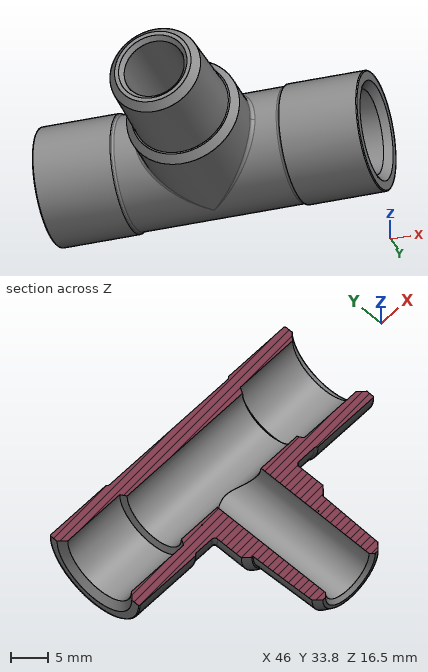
import cadquery as cq
import math

run_length = 46.0
collar_radius = 16.5 / 2
collar_length = 11.2
collar_chamfer = 0.15
body_radius = 8.0
blend_radius = 0.5

through_radius = 10.0 / 2
socket_radius = 11.75 / 2
socket_depth = collar_length
socket_chamfer = 1.0
drill_tip_half_angle = 59.0

overall_depth = 33.75
branch_length = overall_depth - collar_radius
shoulder_distance = 13.95
edge_chamfer = 1.0
spigot_root_radius = 6.75
taper_per_length = 1 / 32
branch_bore_radius = 8.5 / 2
branch_bore_chamfer = 0.6
junction_fillet = 0.5

half_length = run_length / 2
collar_inner_x = half_length - collar_length


def run_half():
    """Right half of the solid run, from the middle to the +X end."""
    collar_edge_radius = collar_radius - collar_chamfer
    drop = collar_edge_radius - body_radius

    def reach(rise):
        return math.sqrt(blend_radius**2 - (blend_radius - rise) ** 2)

    def blend_point(rise):
        return collar_inner_x - reach(drop) + reach(rise), body_radius + rise

    return (
        cq.Workplane("XY")
        .lineTo(0, body_radius)
        .lineTo(*blend_point(0))
        .threePointArc(blend_point(drop / 2), blend_point(drop))
        .lineTo(collar_inner_x + collar_chamfer, collar_radius)
        .lineTo(half_length - collar_chamfer, collar_radius)
        .lineTo(half_length, collar_edge_radius)
        .lineTo(half_length, 0)
        .close()
        .revolve(360, (0, 0), (1, 0))
    )


def socket():
    """Void of the +X socket with its mouth chamfer, drill cone and half of the through bore."""
    bottom_x = half_length - socket_depth
    cone_length = (socket_radius - through_radius) / math.tan(math.radians(drill_tip_half_angle))
    return (
        cq.Workplane("XY")
        .lineTo(0, through_radius)
        .lineTo(bottom_x - cone_length, through_radius)
        .lineTo(bottom_x, socket_radius)
        .lineTo(half_length - socket_chamfer, socket_radius)
        .lineTo(half_length, socket_radius + socket_chamfer)
        .lineTo(half_length, 0)
        .close()
        .revolve(360, (0, 0), (1, 0))
    )


def mirrored_pair(half):
    return half.union(half.mirror("YZ"))


def branch_base():
    """Plain cylinder from the run axis to the start of the shoulder chamfer."""
    return cq.Workplane("XZ").circle(body_radius).extrude(shoulder_distance - edge_chamfer)


def spigot():
    """Shoulder chamfer and tapered spigot, revolved about Y."""
    chamfer_start = shoulder_distance - edge_chamfer
    taper_end = branch_length - edge_chamfer
    tip_radius = spigot_root_radius - (taper_end - shoulder_distance) * taper_per_length
    return (
        cq.Workplane("XY")
        .moveTo(0, -chamfer_start)
        .lineTo(body_radius, -chamfer_start)
        .lineTo(body_radius - edge_chamfer, -shoulder_distance)
        .lineTo(spigot_root_radius, -shoulder_distance)
        .lineTo(tip_radius, -taper_end)
        .lineTo(tip_radius - edge_chamfer, -branch_length)
        .lineTo(0, -branch_length)
        .close()
        .revolve(360, (0, 0), (0, 1))
    )


def branch_bore():
    """Void from the branch tip to the run axis, chamfered at the mouth."""
    return (
        cq.Workplane("XY")
        .lineTo(branch_bore_radius, 0)
        .lineTo(branch_bore_radius, branch_bore_chamfer - branch_length)
        .lineTo(branch_bore_radius + branch_bore_chamfer, -branch_length)
        .lineTo(0, -branch_length)
        .close()
        .revolve(360, (0, 0), (0, 1))
    )


tee = mirrored_pair(run_half()).union(branch_base())
front_half = cq.selectors.BoxSelector(
    (-body_radius, -body_radius, -body_radius), (body_radius, 0, body_radius)
)
tee = tee.edges(front_half).edges("%ELLIPSE").fillet(junction_fillet)

result = tee.union(spigot()).cut(mirrored_pair(socket())).cut(branch_bore())